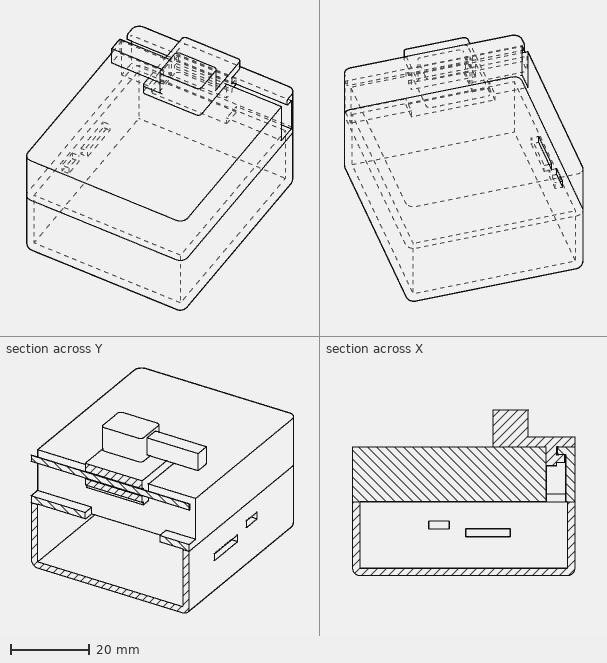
import cadquery as cq

CASE_X = 47.5
CASE_Y = 57.0
SEAM_Z = 19.0
LID_TOP_Z = 33.05
CORNER_R = 2.2
WALL = 2.0
BOTTOM_R = 2.0
BACK_Y = CASE_Y / 2
LEFT_X = -CASE_X / 2

SLOT_H = 2.0
CARD_SLOT_Y = (0.55, 11.85)
CARD_SLOT_Z = 10.05
PORT_SLOT_Y = (-8.95, -3.75)
PORT_SLOT_Z = CARD_SLOT_Z + SLOT_H

RAIL_WALL = 2.4
LIP_DEPTH = 4.5
LIP_H = 2.05
LIP_EDGE_R = 0.9 / 2
RAIL_FRONT_Y = 21.15
RAIL_FLOOR_Z = SEAM_Z + WALL
RAIL_WALL_Y = BACK_Y - RAIL_WALL
LIP_FRONT_Y = BACK_Y - LIP_DEPTH
LIP_BOTTOM_Z = LID_TOP_Z - LIP_H
WINDOW_LEFT_X = -14.9

SLIDER_X = (-9.65, 7.45)
PLATE_FRONT_Y = 7.45
PLATE_H = 2.5
PLATE_TOP_Z = LID_TOP_Z + PLATE_H
SLIDER_TOP_Z = 42.5
BLOCK_X = (-4.75, SLIDER_X[1])
BLOCK_Y = (PLATE_FRONT_Y, 16.55)
SLIDER_CORNER_R = 1.0
ARM_X = (-20.05, BLOCK_X[0])
ARM_Y = (9.85, 13.95)
ARM_Z = (36.6, 41.65)
FIT_GAP = 0.2
TAB_H = 2.0
NECK_BOTTOM_Z = 28.15


def box(x_range, y_range, z_range):
    """Block between the given limits on each axis."""
    (x0, x1), (y0, y1), (z0, z1) = x_range, y_range, z_range
    return cq.Workplane("XY").box(x1 - x0, y1 - y0, z1 - z0, centered=False).translate((x0, y0, z0))


def case_block(bottom, top):
    """Case-sized block with rounded upright corners."""
    half_x = CASE_X / 2
    half_y = CASE_Y / 2
    block = box((-half_x, half_x), (-half_y, half_y), (bottom, top))
    return block.edges("|Z").fillet(CORNER_R)


def make_base():
    """Open-topped tray with two connector slots in its -X wall."""
    inner_x = CASE_X / 2 - WALL
    inner_y = CASE_Y / 2 - WALL
    base = case_block(0, SEAM_Z).faces("<Z").edges().fillet(BOTTOM_R)
    base = base.cut(box((-inner_x, inner_x), (-inner_y, inner_y), (WALL, SEAM_Z)))
    for y_range, bottom in ((CARD_SLOT_Y, CARD_SLOT_Z), (PORT_SLOT_Y, PORT_SLOT_Z)):
        base = base.cut(box((LEFT_X, -inner_x), y_range, (bottom, bottom + SLOT_H)))
    return base


def make_lid():
    """Lid with an undercut rail slot running its whole width along the back."""
    slot_profile = [
        (RAIL_FRONT_Y, LID_TOP_Z),
        (RAIL_FRONT_Y, RAIL_FLOOR_Z),
        (RAIL_WALL_Y, RAIL_FLOOR_Z),
        (RAIL_WALL_Y, LIP_BOTTOM_Z),
        (LIP_FRONT_Y, LIP_BOTTOM_Z),
        (LIP_FRONT_Y, LID_TOP_Z),
    ]
    rail_slot = cq.Workplane("YZ").polyline(slot_profile).close().extrude(CASE_X).translate((LEFT_X, 0, 0))
    lid = case_block(SEAM_Z, LID_TOP_Z).cut(rail_slot)

    lip_middle_z = (LIP_BOTTOM_Z + LID_TOP_Z) / 2
    lip_front = cq.selectors.NearestToPointSelector((0, LIP_FRONT_Y, lip_middle_z))
    lid = lid.faces(lip_front).edges("|X").fillet(LIP_EDGE_R)

    window = box((WINDOW_LEFT_X, SLIDER_X[1]), (RAIL_FRONT_Y, RAIL_WALL_Y), (SEAM_Z, RAIL_FLOOR_Z))
    return lid.cut(window)


def make_slider():
    """Plate on the lid with a block and arm above, and a neck and tab in the rail slot."""
    plate = box(SLIDER_X, (PLATE_FRONT_Y, BACK_Y), (LID_TOP_Z, PLATE_TOP_Z))
    plate = plate.edges("|Z").fillet(SLIDER_CORNER_R)
    block = box(BLOCK_X, BLOCK_Y, (LID_TOP_Z, SLIDER_TOP_Z)).edges("|Z").fillet(SLIDER_CORNER_R)
    arm = box((ARM_X[0], ARM_X[1] + SLIDER_CORNER_R), ARM_Y, ARM_Z)
    neck_back_y = LIP_FRONT_Y - FIT_GAP
    neck = box(SLIDER_X, (RAIL_FRONT_Y, neck_back_y), (NECK_BOTTOM_Z, LID_TOP_Z))
    tab = box(SLIDER_X, (neck_back_y, RAIL_WALL_Y - FIT_GAP), (LIP_BOTTOM_Z - TAB_H, LIP_BOTTOM_Z))
    return plate.union(block).union(arm).union(neck).union(tab)


base = make_base()
lid = make_lid()
slider = make_slider()
result = cq.Compound.makeCompound([base.val(), lid.val(), slider.val()])